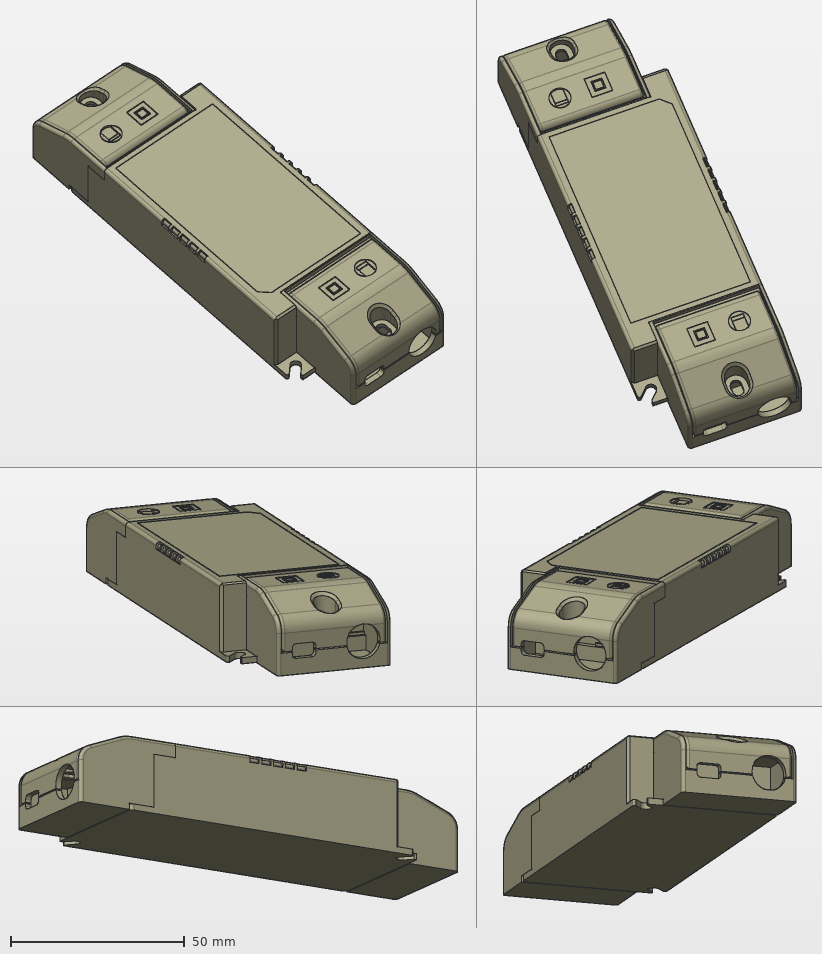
import cadquery as cq
import math

LENGTH = 132.0
WIDTH = 43.0
HEIGHT = 22.2
HALF_LENGTH = LENGTH / 2
HALF_WIDTH = WIDTH / 2

HOUSING_HALF_LENGTH = 41.2
LONG_EDGE_RADIUS = 1.0
END_BEVEL = 0.8
END_BEVEL_DROP = 0.4
LABEL_LENGTH = 65.0
LABEL_WIDTH = 37.0
LABEL_CORNER_CUT = 2.9
LABEL_DEPTH = 0.1

VENT_COUNT = 5
VENT_PITCH = 4.0
VENT_LENGTH = 3.0
VENT_CENTER_X = 0.5
VENT_HEIGHT = 2.1
VENT_REACH = 1.2
VENT_DEPTH = 0.5

PLATE_THICKNESS = 1.8
PLATE_HALF_LENGTH = 49.1
PLATE_CORNER_RADIUS = 1.2
EAR_SLOT_WIDTH = 3.3
EAR_SLOT_X = -44.7
EAR_SLOT_Y = 17.0
EAR_TIP_X = -46.1
EAR_SHOULDER_Y = 18.1
EAR_TIP_RADIUS = 0.7

COVER_MIN_Y = -HALF_WIDTH
COVER_MAX_Y = 13.6
COVER_CENTER_Y = (COVER_MIN_Y + COVER_MAX_Y) / 2
TONGUE_END_X = -34.0
TONGUE_BOTTOM = 17.7
PLATE_NOTCH_X = -49.5
SLOPE_ANGLE = 21.0
SLOPE_TOP_X = -50.5
SLOPE_TOP_RADIUS = 9.9
SLOPE_FOOT_RADIUS = 5.3

RIM_WIDTH = 1.2
TONGUE_RIM_WIDTH = 0.4
GROOVE_WIDTH = 0.4
TONGUE_GROOVE_WIDTH = 0.9
GROOVE_DEPTH = 1.5
GROOVE_BOTTOM = 6.7
PANEL_EDGE_RADIUS = 0.7
PANEL_END_RADIUS = 2.2
PANEL_END_RUN = 2.0

WELL_X = -59.3
WELL_DIAMETER = 6.7
WELL_STRAIGHT = 1.7
WELL_CHAMFER = 0.8
WELL_MOUTH_MIN_Z = 15.8
WELL_FLOOR = 14.0
WELL_WALL = 0.7
WELL_FLOOR_THICKNESS = 1.2
SCREW_SLOT_LENGTH = 5.1
SCREW_SLOT_WIDTH = 3.3

COVER_WALL = 1.8
CAVITY_SIDE_WALL = 2.6
CAVITY_BOTTOM = 1.6
CAVITY_TOP = 13.6
CAVITY_STEP_Z = 6.0
CAVITY_STEP_X = -52.8
CAVITY_BACK_X = -50.8
CABLE_REST_TOP = 6.7
CABLE_REST_X = -51.7

CABLE_HOLE_DIAMETER = 10.3
CABLE_HOLE_Y = -13.0
CABLE_HOLE_Z = 7.9
WIRE_SLOT_WIDTH = 7.3
WIRE_SLOT_HEIGHT = 4.4
WIRE_SLOT_RADIUS = 1.2
WIRE_SLOT_Y = 5.4
WIRE_SLOT_Z = 7.0

RECESS_X = -43.2
RECESS_SIZE = 6.3
RECESS_DEPTH = 0.3
SQUARE_RECESS_Y = 0.9
SQUARE_POST_SIZE = 3.3
SQUARE_POST_HOLE = 2.5
ROUND_RECESS_Y = -11.0
ROUND_POCKET_WIDTH = 3.8
ROUND_POCKET_STEP_X = -42.2
ROUND_POCKET_MAX_X = -41.2


def block(x, y, z):
    """Box between the given (low, high) limits along each axis."""
    return cq.Workplane("XY").box(
        x[1] - x[0], y[1] - y[0], z[1] - z[0], centered=False
    ).translate((x[0], y[0], z[0]))


def half_turn(body):
    """The same shape at the opposite end, turned about the Z axis."""
    return body.rotate((0, 0, 0), (0, 0, 1), 180)



def housing_block():
    """Main box with rounded long top edges, bevelled ends and bevelled exposed corners."""
    body = block(
        (-HOUSING_HALF_LENGTH, HOUSING_HALF_LENGTH), (-HALF_WIDTH, HALF_WIDTH), (0, HEIGHT)
    )
    for x, y in ((-HOUSING_HALF_LENGTH, HALF_WIDTH), (HOUSING_HALF_LENGTH, -HALF_WIDTH)):
        body = body.edges(cq.NearestToPointSelector((x, y, HEIGHT / 2))).chamfer(END_BEVEL)
    return body.intersect(bevelled_top_envelope()).intersect(long_edge_envelope())


def bevelled_top_envelope():
    """Bar along Y whose two top edges carry the shallow bevel of the housing ends."""
    bevel_start_x = HOUSING_HALF_LENGTH - END_BEVEL
    bevel_foot_z = HEIGHT - END_BEVEL_DROP
    return (
        cq.Workplane("XZ")
        .moveTo(-HOUSING_HALF_LENGTH, 0)
        .lineTo(-HOUSING_HALF_LENGTH, bevel_foot_z)
        .lineTo(-bevel_start_x, HEIGHT)
        .lineTo(bevel_start_x, HEIGHT)
        .lineTo(HOUSING_HALF_LENGTH, bevel_foot_z)
        .lineTo(HOUSING_HALF_LENGTH, 0)
        .close()
        .extrude(HALF_WIDTH, both=True)
    )


def long_edge_envelope(inset=0.0):
    """Long bar whose top edges are rounded, set in from the housing's top and sides."""
    bar = block(
        (-HALF_LENGTH, HALF_LENGTH),
        (-HALF_WIDTH + inset, HALF_WIDTH - inset),
        (0, HEIGHT - inset),
    )
    return bar.faces(">Z").edges("|X").fillet(LONG_EDGE_RADIUS)


def label_recess():
    """Shallow label field with one cut corner at +X, -Y."""
    half_x = LABEL_LENGTH / 2
    half_y = LABEL_WIDTH / 2
    return (
        cq.Workplane("XY", origin=(0, 0, HEIGHT - LABEL_DEPTH))
        .moveTo(-half_x, -half_y)
        .lineTo(half_x - LABEL_CORNER_CUT, -half_y)
        .lineTo(half_x, -half_y + LABEL_CORNER_CUT)
        .lineTo(half_x, half_y)
        .lineTo(-half_x, half_y)
        .close()
        .extrude(LABEL_DEPTH)
    )


def vent_recesses():
    """Rows of recesses wrapping over the two long top edges."""
    core = long_edge_envelope(VENT_DEPTH)
    cutters = None
    for side in (-1, 1):
        y = sorted((side * (HALF_WIDTH - VENT_REACH), side * HALF_WIDTH))
        for index in range(VENT_COUNT):
            x = VENT_CENTER_X + (index - (VENT_COUNT - 1) / 2) * VENT_PITCH
            cutter = block(
                (x - VENT_LENGTH / 2, x + VENT_LENGTH / 2), y, (HEIGHT - VENT_HEIGHT, HEIGHT)
            )
            cutters = cutter if cutters is None else cutters.union(cutter)
    return cutters.cut(core)


def ear_opening():
    """Diagonal screw slot of the ear at -X, +Y, with the corner it opens into cut away."""
    slot_run = 2 * (HALF_WIDTH - EAR_SLOT_Y)
    slot = (
        cq.Workplane("XY")
        .circle(EAR_SLOT_WIDTH / 2)
        .extrude(PLATE_THICKNESS)
        .union(block((-slot_run, 0), (-EAR_SLOT_WIDTH / 2, EAR_SLOT_WIDTH / 2), (0, PLATE_THICKNESS)))
        .rotate((0, 0, 0), (0, 0, 1), -45)
        .translate((EAR_SLOT_X, EAR_SLOT_Y, 0))
    )
    corner = block(
        (-PLATE_HALF_LENGTH, EAR_TIP_X), (EAR_SHOULDER_Y, HALF_WIDTH), (0, PLATE_THICKNESS)
    )
    return slot.union(corner)


def base_plate():
    """Plate under the whole part, with slotted ears and two rounded corners."""
    plate = block(
        (-PLATE_HALF_LENGTH, PLATE_HALF_LENGTH), (-HALF_WIDTH, HALF_WIDTH), (0, PLATE_THICKNESS)
    )
    for x, y in ((-PLATE_HALF_LENGTH, -HALF_WIDTH), (PLATE_HALF_LENGTH, HALF_WIDTH)):
        corner = cq.NearestToPointSelector((x, y, PLATE_THICKNESS / 2))
        plate = plate.edges(corner).fillet(PLATE_CORNER_RADIUS)
    opening = ear_opening()
    plate = plate.cut(opening).cut(half_turn(opening))
    for x, y in ((EAR_TIP_X, HALF_WIDTH), (-EAR_TIP_X, -HALF_WIDTH)):
        tip = cq.NearestToPointSelector((x, y, PLATE_THICKNESS / 2))
        plate = plate.edges(tip).fillet(EAR_TIP_RADIUS)
    return plate


def make_housing():
    """Housing with its base plate, the seats for both cover tongues, label and vents."""
    tongue_seat = block(
        (-HOUSING_HALF_LENGTH, TONGUE_END_X), (COVER_MIN_Y, COVER_MAX_Y), (TONGUE_BOTTOM, HEIGHT)
    )
    return (
        housing_block()
        .union(base_plate())
        .cut(tongue_seat)
        .cut(half_turn(tongue_seat))
        .cut(label_recess())
        .cut(vent_recesses())
    )



def sloped_bar(end_x, bottom_z, y):
    """Bar along Y with the cover's sloped outline, running from the end wall to end_x."""
    foot_z = HEIGHT - (SLOPE_TOP_X + HALF_LENGTH) * math.tan(math.radians(SLOPE_ANGLE))
    bar = (
        cq.Workplane("XZ", origin=(0, y[1], 0))
        .moveTo(-HALF_LENGTH, bottom_z)
        .lineTo(-HALF_LENGTH, foot_z)
        .lineTo(SLOPE_TOP_X, HEIGHT)
        .lineTo(end_x, HEIGHT)
        .lineTo(end_x, bottom_z)
        .close()
        .extrude(y[1] - y[0])
    )
    middle_y = (y[0] + y[1]) / 2
    foot = cq.NearestToPointSelector((-HALF_LENGTH, middle_y, foot_z))
    top = cq.NearestToPointSelector((SLOPE_TOP_X, middle_y, HEIGHT))
    return bar.edges(foot).fillet(SLOPE_FOOT_RADIUS).edges(top).fillet(SLOPE_TOP_RADIUS)


def round_sides(bar, radius):
    """Round every edge of the two faces that look along Y."""
    return bar.faces("<Y or >Y").edges().fillet(radius)


def cover_block():
    """Sloped cover body: a tongue over the housing and a notch over the base plate."""
    width = (COVER_MIN_Y, COVER_MAX_Y)
    body = round_sides(sloped_bar(0, -HEIGHT, width), LONG_EDGE_RADIUS)
    body = body.intersect(block((-HALF_LENGTH, TONGUE_END_X), width, (0, HEIGHT)))
    body = body.cut(block((-HOUSING_HALF_LENGTH, 0), width, (0, TONGUE_BOTTOM)))
    return body.cut(block((PLATE_NOTCH_X, 0), width, (0, PLATE_THICKNESS)))


def panel_groove():
    """Groove along both sides, the tongue end and the end wall, around a round-edged panel."""
    frame_y = (COVER_MIN_Y + RIM_WIDTH, COVER_MAX_Y - RIM_WIDTH)
    frame_end_x = TONGUE_END_X - TONGUE_RIM_WIDTH
    frame = block((-HALF_LENGTH, frame_end_x), frame_y, (GROOVE_BOTTOM, HEIGHT))

    outer = sloped_bar(0, -HEIGHT, frame_y)
    core = (
        outer.faces("<Y").wires().toPending().workplane()
        .offset2D(-GROOVE_DEPTH).extrude(-(frame_y[1] - frame_y[0]), combine=False)
    )

    panel_y = (frame_y[0] + GROOVE_WIDTH, frame_y[1] - GROOVE_WIDTH)
    panel_end_x = frame_end_x - TONGUE_GROOVE_WIDTH
    panel_bottom = GROOVE_BOTTOM + GROOVE_WIDTH
    rounded_end_x = panel_end_x - PANEL_END_RUN + PANEL_END_RADIUS
    panel = sloped_bar(rounded_end_x, panel_bottom, panel_y)
    panel = panel.faces(">X").edges(">Z").fillet(PANEL_END_RADIUS)
    panel = panel.intersect(block((-HALF_LENGTH, panel_end_x), panel_y, (panel_bottom, HEIGHT)))
    panel = round_sides(panel, PANEL_EDGE_RADIUS)
    return frame.intersect(outer).cut(core).cut(panel)


def slot_prism(length, width, bottom_z, top_z):
    """Upright oval prism at the screw position, long side along X."""
    return (
        cq.Workplane("XY", origin=(WELL_X, COVER_CENTER_Y, bottom_z))
        .slot2D(length, width)
        .extrude(top_z - bottom_z)
    )


def screw_well():
    """Oval well that sinks into the slope down to a flat floor."""
    return slot_prism(WELL_DIAMETER + WELL_STRAIGHT, WELL_DIAMETER, WELL_FLOOR, HEIGHT)


def cavity():
    """Wiring space around the screw well, with a stepped back and a ledge behind the cable hole."""
    y = (COVER_MIN_Y + CAVITY_SIDE_WALL, COVER_MAX_Y - CAVITY_SIDE_WALL)
    front_x = -HALF_LENGTH + COVER_WALL
    lower = block((front_x, CAVITY_STEP_X), y, (CAVITY_BOTTOM, CAVITY_STEP_Z))
    upper = block((front_x, CAVITY_BACK_X), y, (CAVITY_STEP_Z, CAVITY_TOP))
    boss_width = WELL_DIAMETER + 2 * WELL_WALL
    boss = slot_prism(
        boss_width + WELL_STRAIGHT, boss_width, WELL_FLOOR - WELL_FLOOR_THICKNESS, HEIGHT
    )
    rest_y = (y[0], CABLE_HOLE_Y + CABLE_HOLE_DIAMETER / 2)
    cable_rest = block((CABLE_REST_X, CAVITY_BACK_X), rest_y, (CAVITY_STEP_Z, CABLE_REST_TOP))
    return lower.union(upper).cut(boss).cut(cable_rest)


def cable_openings():
    """Round cable hole and rounded wire slot through the end wall."""
    wall = cq.Workplane("YZ", origin=(-HALF_LENGTH, 0, 0))
    depth = 2 * COVER_WALL
    hole = wall.center(CABLE_HOLE_Y, CABLE_HOLE_Z).circle(CABLE_HOLE_DIAMETER / 2).extrude(depth)
    slot = (
        wall.center(WIRE_SLOT_Y, WIRE_SLOT_Z)
        .rect(WIRE_SLOT_WIDTH, WIRE_SLOT_HEIGHT)
        .extrude(depth)
        .edges("|X")
        .fillet(WIRE_SLOT_RADIUS)
    )
    return hole.union(slot)


def square_recess():
    """Square recess around a square post that is hollow."""
    floor = cq.Workplane("XY", origin=(RECESS_X, SQUARE_RECESS_Y, HEIGHT - RECESS_DEPTH))
    recess = floor.rect(RECESS_SIZE, RECESS_SIZE).extrude(RECESS_DEPTH)
    post = (
        floor.rect(SQUARE_POST_SIZE, SQUARE_POST_SIZE)
        .rect(SQUARE_POST_HOLE, SQUARE_POST_HOLE)
        .extrude(RECESS_DEPTH)
    )
    return recess.cut(post)


def round_recess():
    """Round recess whose floor steps down twice, toward the outer end of the cover."""
    floor_z = HEIGHT - RECESS_DEPTH
    disc = (
        cq.Workplane("XY", origin=(RECESS_X, ROUND_RECESS_Y, floor_z))
        .circle(RECESS_SIZE / 2)
        .extrude(RECESS_DEPTH)
    )
    y = (ROUND_RECESS_Y - ROUND_POCKET_WIDTH / 2, ROUND_RECESS_Y + ROUND_POCKET_WIDTH / 2)
    step_z = floor_z - RECESS_DEPTH
    pocket_min_x = RECESS_X - RECESS_SIZE / 2
    ledge = block((pocket_min_x, ROUND_POCKET_MAX_X), y, (step_z, floor_z))
    pocket = block((pocket_min_x, ROUND_POCKET_STEP_X), y, (step_z - RECESS_DEPTH, step_z))
    bore = disc.faces("<Z").wires().toPending().workplane().extrude(2 * RECESS_DEPTH, combine=False)
    return disc.union(ledge.union(pocket).intersect(bore))


def make_cover():
    """Complete end cover for the -X end."""
    screw_slot = slot_prism(SCREW_SLOT_LENGTH, SCREW_SLOT_WIDTH, CAVITY_STEP_Z, WELL_FLOOR)
    cover = cover_block().cut(panel_groove()).cut(screw_well())
    well_mouth = cq.selectors.BoxSelector(
        (WELL_X - WELL_DIAMETER, COVER_CENTER_Y - WELL_DIAMETER, WELL_MOUTH_MIN_Z),
        (WELL_X + WELL_DIAMETER, COVER_CENTER_Y + WELL_DIAMETER, HEIGHT),
    )
    cover = cover.edges(well_mouth).chamfer(WELL_CHAMFER)
    return (
        cover.cut(cavity())
        .cut(screw_slot)
        .cut(cable_openings())
        .cut(square_recess())
        .cut(round_recess())
    )


housing = make_housing()
left_cover = make_cover()
right_cover = half_turn(left_cover)

result = cq.Compound.makeCompound([housing.val(), left_cover.val(), right_cover.val()])